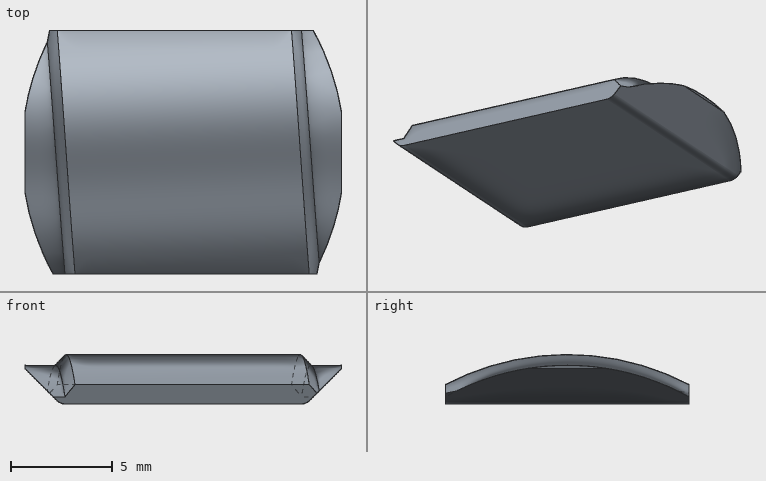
import cadquery as cq
import math

length = 15.6
width = 12.0
height = 2.45

edge_height = 0.97
crown_step = 0.53
rise = height - edge_height
crown_radius = ((width / 2) ** 2 + rise ** 2) / (2 * rise)
lip_radius = crown_radius - crown_step
axis_height = height - crown_radius

lip_edge_base = 1.76
bottom_round = 0.62

crown_length = 11.53
flank_run = 0.51
crown_skew = 0.87
crown_root = 0.31
overrun = math.radians(3)


def make_envelope():
    """Bar with undercut ends that bounds the whole part."""
    bottom_length = length - 2 * lip_edge_base
    profile = [
        (-bottom_length / 2, 0),
        (bottom_length / 2, 0),
        (length / 2, lip_edge_base),
        (length / 2, height),
        (-length / 2, height),
        (-length / 2, lip_edge_base),
    ]
    bar = cq.Workplane("XZ").polyline(profile).close().extrude(width / 2, both=True)
    return bar.edges("|Y and <Z").fillet(bottom_round)


def make_lip_cylinder():
    """Solid cylinder whose top forms the lip surfaces at both ends."""
    return (
        cq.Workplane("YZ")
        .center(0, axis_height)
        .circle(lip_radius)
        .extrude(length, both=True)
    )


def make_crown():
    """Raised crown with sloping flanks, swept along a helix about the arch axis."""
    side_angle = math.asin(width / 2 / crown_radius)
    half_sweep = side_angle + overrun
    pitch = crown_skew * math.pi / side_angle
    advance = crown_skew * half_sweep / side_angle
    half_top = crown_length / 2
    root_radius = lip_radius - crown_root
    half_root = half_top + flank_run * (crown_radius - root_radius) / crown_step
    section = [
        (crown_radius, -half_top),
        (crown_radius, half_top),
        (root_radius, half_root),
        (root_radius, -half_root),
    ]
    helix = cq.Wire.makeHelix(pitch, advance, crown_radius)
    swept = cq.Workplane("XZ").polyline(section).close().sweep(cq.Workplane(helix), isFrenet=True)
    return (
        swept.translate((0, 0, -advance / 2))
        .rotate((0, 0, 0), (0, 0, 1), -math.degrees(half_sweep))
        .rotate((0, 0, 0), (1, 0, 1), 180)
        .translate((0, 0, axis_height))
    )


envelope = make_envelope()
result = make_lip_cylinder().union(make_crown()).intersect(envelope)